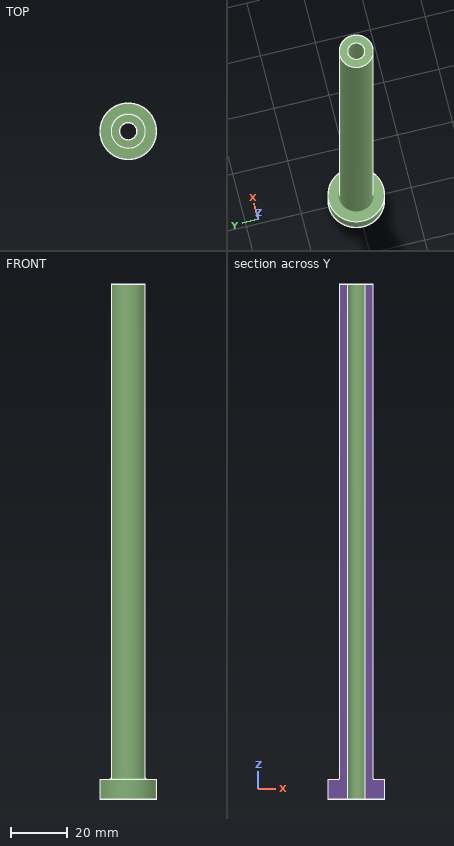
import cadquery as cq

total_length = 182.0
head_diameter = 20.0
head_height = 7.1
shaft_diameter = 12.0
bore_diameter = 6.0
neck_fillet = 0.5

head_radius = head_diameter / 2
shaft_radius = shaft_diameter / 2
bore_radius = bore_diameter / 2

half_section = (
    cq.Workplane("XZ")
    .moveTo(bore_radius, 0)
    .lineTo(head_radius, 0)
    .lineTo(head_radius, head_height)
    .lineTo(shaft_radius + neck_fillet, head_height)
    .radiusArc((shaft_radius, head_height + neck_fillet), neck_fillet)
    .lineTo(shaft_radius, total_length)
    .lineTo(bore_radius, total_length)
    .close()
)

result = half_section.revolve(360, (0, 0, 0), (0, 1, 0))